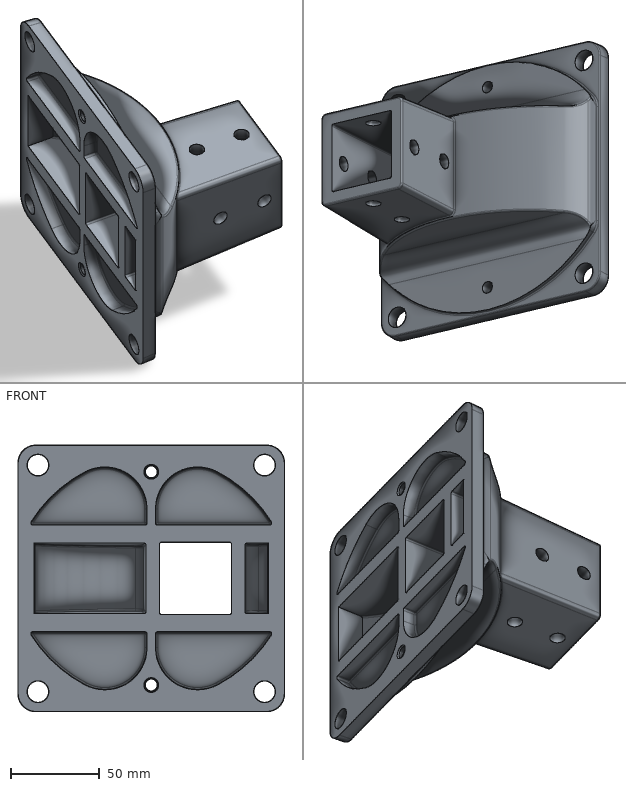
import cadquery as cq
import math


draft = 2.0
draft_slope = math.tan(math.radians(draft))
wall = 4.0
edge_round = 1.0
inner_round = 4.0

plate_size = 150.0
plate_thickness = 8.1
plate_corner = 10.0
plate_edge_round = 0.6

pad_half_width = 72.9
pad_arc_radius = 92.7
pad_arc_center = -19.5
pad_corner = 10.0
pad_height = 12.2
pad_foot_height = 1.0
pad_foot_round = 0.9

hump_height = 50.5
hump_radius = 88.5
hump_half_width = 31.0
hump_blend = 13.2
hump_end_round = 9.0

tube_x = 24.9
total_depth = 100.0
tube_outer = 55.0
tube_bore = 40.5
tube_corner = 3.0
tube_start = 15.0
tube_foot_round = 0.8

rib = 7.6
bay_end = 65.8
bay_height = 39.6
lobe_gap = 2.4
lobe_radius = 23.7
lobe_center_z = 39.0
lobe_sweep_center = -10.8
lobe_base_z = 30.0
lobe_corner = 1.2
lobe_depth = pad_height - wall

corner_hole = 12.0
corner_hole_pitch = 127.5
small_hole = 6.8
small_hole_z = 60.0
small_hole_chamfer = 0.8
cross_hole = 8.5
cross_hole_depths = (60.0, 88.4)

FRONT = cq.Plane(origin=(0, 0, 0), xDir=(1, 0, 0), normal=(0, 1, 0))


def front_plane(depth=0.0):
    return cq.Workplane(FRONT).workplane(offset=depth)


def make_plate():
    plate = front_plane().rect(plate_size, plate_size).extrude(plate_thickness, taper=draft)
    plate = plate.edges("not(#Y)").edges("not(|X or |Z)").fillet(plate_corner)
    return plate.faces(">Y").edges().fillet(plate_edge_round)


def make_pad_outline(start, height):
    """Prism with straight sides and an arc above and below, from the given depth."""
    side_z = pad_arc_center + math.sqrt(pad_arc_radius**2 - pad_half_width**2)
    top_z = pad_arc_center + pad_arc_radius
    return (
        front_plane(start)
        .moveTo(-pad_half_width, -side_z)
        .lineTo(-pad_half_width, side_z)
        .threePointArc((0, top_z), (pad_half_width, side_z))
        .lineTo(pad_half_width, -side_z)
        .threePointArc((0, -top_z), (-pad_half_width, -side_z))
        .close()
        .extrude(height)
        .edges("|Y")
        .fillet(pad_corner)
    )


def make_flange():
    """Plate with the lowest part of the pad and the small cove around the pad's foot."""
    flange = make_plate().union(make_pad_outline(plate_thickness, pad_foot_height))
    foot_edge = cq.selectors.NearestToPointSelector((pad_half_width, plate_thickness, 0))
    return flange.edges(foot_edge).fillet(pad_foot_round)


def make_hump_section():
    """Cross-section in YZ: sloping pad back, blended into the drafted sides of the hump."""
    foot = hump_half_width + (hump_height - pad_height) * draft_slope
    reach = plate_size / 2
    rim = pad_height - (reach - foot) * draft_slope
    section = (
        cq.Workplane("YZ")
        .polyline(
            [
                (0, -reach),
                (rim, -reach),
                (pad_height, -foot),
                (hump_height, -hump_half_width),
                (hump_height, hump_half_width),
                (pad_height, foot),
                (rim, reach),
                (0, reach),
            ]
        )
        .close()
        .extrude(reach, both=True)
    )
    for side in (-foot, foot):
        seam = cq.selectors.NearestToPointSelector((0, pad_height, side))
        section = section.edges(seam).fillet(hump_blend)
    return section


def make_arch(height, radius, half_width):
    """Solid under an arc in XY that peaks at the given height over X = 0."""
    side_y = height - radius + math.sqrt(radius**2 - half_width**2)
    return (
        cq.Workplane("XY")
        .moveTo(-half_width, 0)
        .lineTo(-half_width, side_y)
        .threePointArc((0, height), (half_width, side_y))
        .lineTo(half_width, 0)
        .close()
        .extrude(plate_size / 2, both=True)
    )


def make_hump():
    arch = make_arch(hump_height, hump_radius, pad_half_width)
    arch = arch.edges("|Z and (not <Y)").fillet(hump_end_round)
    hump = make_pad_outline(0, hump_height).intersect(make_hump_section()).intersect(arch)
    crown = cq.selectors.NearestToPointSelector((0, hump_height, 0))
    return hump.faces(crown).edges("not |Z").fillet(edge_round)


def make_tube():
    length = total_depth - tube_start
    base = tube_outer + 2 * length * draft_slope
    tube = front_plane(tube_start).center(tube_x, 0).rect(base, base).extrude(length, taper=draft)
    tube = tube.edges("not(|X or |Z)").fillet(tube_corner)
    return tube.faces(">Y").edges().fillet(edge_round)


def blend_tube_foot(body):
    """Round the joint where the tube walls meet the curved hump."""
    reach = tube_outer / 2 + total_depth * draft_slope
    joint = cq.selectors.BoxSelector(
        (tube_x - reach, pad_height, edge_round - hump_half_width),
        (tube_x + reach, hump_height, hump_half_width - edge_round),
    )
    return body.edges(joint).fillet(tube_foot_round)


def make_bay(x_min, x_max):
    """Central pocket whose drafted sides run back to the inside of the arch."""
    hollow = make_arch(hump_height - wall, hump_radius - wall, bay_end)
    bay = (
        front_plane()
        .center((x_min + x_max) / 2, 0)
        .rect(x_max - x_min, bay_height)
        .extrude(hump_height, taper=draft)
    )
    bay = bay.intersect(hollow)
    tube_side = x_max if x_min < 0 else x_min
    deep_corner = cq.selectors.NearestToPointSelector((tube_side, hump_height, 0))
    bay = bay.edges(deep_corner).fillet(inner_round)
    return bay.edges("%ELLIPSE").fillet(edge_round)


def make_lobe(side):
    """Shallow pocket with a straight base, a round inner shoulder and a sweeping outer arc."""
    center_x = lobe_gap + lobe_radius
    rise = lobe_center_z - lobe_sweep_center
    center_distance = math.hypot(center_x, rise)
    sweep_radius = center_distance + lobe_radius
    tangent_x = center_x * sweep_radius / center_distance
    tangent_z = lobe_sweep_center + rise * sweep_radius / center_distance
    tip_x = math.sqrt(sweep_radius**2 - (lobe_base_z - lobe_sweep_center) ** 2)
    middle_angle = (
        math.atan2(tangent_z - lobe_sweep_center, tangent_x)
        + math.atan2(lobe_base_z - lobe_sweep_center, tip_x)
    ) / 2
    sweep_x = sweep_radius * math.cos(middle_angle)
    sweep_z = lobe_sweep_center + sweep_radius * math.sin(middle_angle)
    shoulder = lobe_radius * math.sqrt(0.5)
    lobe = (
        front_plane()
        .moveTo(side * lobe_gap, lobe_base_z)
        .lineTo(side * lobe_gap, lobe_center_z)
        .threePointArc(
            (side * (center_x - shoulder), lobe_center_z + shoulder), (side * tangent_x, tangent_z)
        )
        .threePointArc((side * sweep_x, sweep_z), (side * tip_x, lobe_base_z))
        .close()
        .extrude(lobe_depth, taper=draft)
    )
    for corner_x in (lobe_gap, tip_x):
        corner = cq.selectors.NearestToPointSelector((side * corner_x, lobe_depth / 2, -lobe_base_z))
        lobe = lobe.edges(corner).fillet(lobe_corner)
    return lobe.faces(">Y").edges().fillet(edge_round)


def cut_holes(body):
    body = (
        body.copyWorkplane(front_plane())
        .rect(corner_hole_pitch, corner_hole_pitch, forConstruction=True)
        .vertices()
        .circle(corner_hole / 2)
        .cutBlind(total_depth)
    )
    mouth = small_hole / 2 + small_hole_chamfer
    for z in (-small_hole_z, small_hole_z):
        body = body.cut(front_plane().center(0, z).circle(small_hole / 2).extrude(pad_height))
        countersink = cq.Solid.makeCone(
            mouth, small_hole / 2, small_hole_chamfer, cq.Vector(0, 0, z), cq.Vector(0, 1, 0)
        )
        body = body.cut(cq.Workplane(countersink))
    for depth in cross_hole_depths:
        across_z = cq.Workplane("XY").center(tube_x, depth).circle(cross_hole / 2)
        across_x = cq.Workplane("YZ", origin=(tube_x, 0, 0)).center(depth, 0).circle(cross_hole / 2)
        body = body.cut(across_z.extrude(tube_outer, both=True))
        body = body.cut(across_x.extrude(tube_outer, both=True))
    return body


bore = front_plane().center(tube_x, 0).rect(tube_bore, tube_bore).extrude(total_depth)
bore = bore.edges("|Y").fillet(edge_round)
bay_inset = tube_bore / 2 + rib

result = make_flange().union(make_hump())
result = blend_tube_foot(result.union(make_tube()))
result = result.cut(bore)
result = result.cut(make_bay(-bay_end, tube_x - bay_inset))
result = result.cut(make_bay(tube_x + bay_inset, bay_end))
for side in (-1, 1):
    lobe = make_lobe(side)
    result = result.cut(lobe).cut(lobe.mirror("XY"))
result = cut_holes(result)